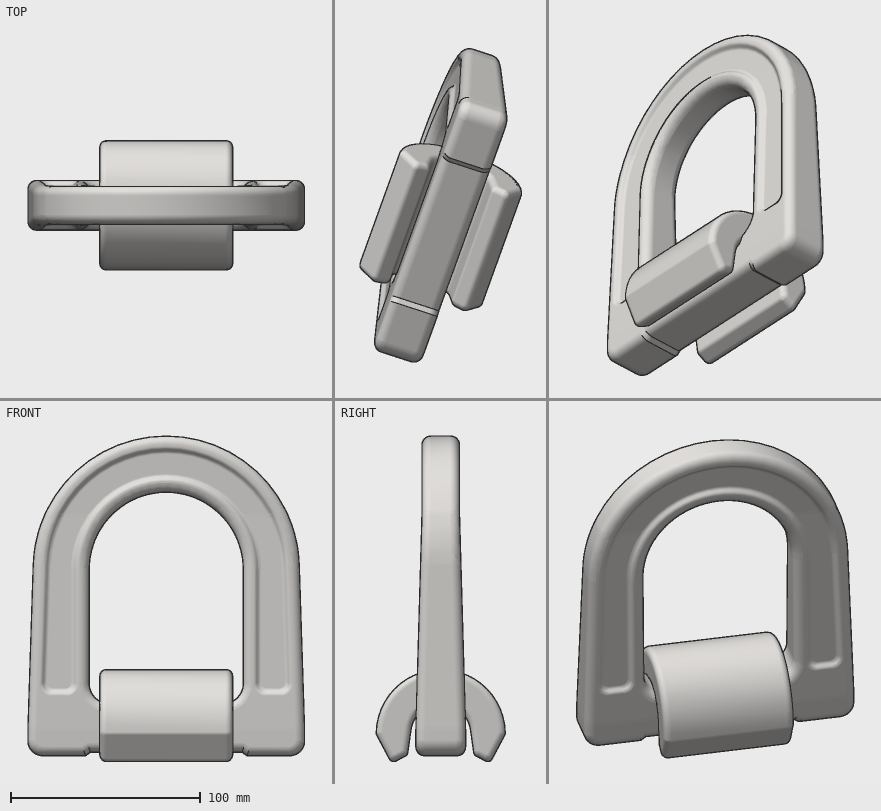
import cadquery as cq
import math

ARCH_Z = 87.0
ARCH_OUTER_R = 70.3
ARCH_INNER_R = 40.6
FOOT_HALF_WIDTH = 73.05
FOOT_TOP_Z = 2.9
FOOT_BOTTOM_Z = -11.5
FOOT_CORNER_R = 8.0
FOOT_INNER_X = 42.6
BAR_SHOULDER_X = 40.0
BAR_BOTTOM_Z = -9.6
BAR_TOP_Z = 16.0
WINDOW_CORNER_R = 10.7

TAPER_TOP_Z = 115.0
ARCH_HALF_DEPTH = 10.0
FOOT_HALF_DEPTH = 13.2
EASE = 1.0
EDGE_R = 4.85

RECESS_DEPTH = 2.2
RECESS_BLEND = 0.9
RECESS_LAND = 0.3
RECESS_RIM_INSET = EDGE_R + RECESS_LAND
RECESS_RIM_Z = 19.8
RECESS_CORNER_R = 6.0
RECESS_OVERRUN = 0.4
RECESS_SLOPE = RECESS_DEPTH + RECESS_OVERRUN
RECESS_BLEND_R = RECESS_BLEND / math.tan(math.radians(45) / 2)

SADDLE_HALF_LENGTH = 35.1
SADDLE_OUTER_R = 34.12
SADDLE_INNER_R = 15.8
SADDLE_SPLAY = math.radians(8)
SADDLE_TOE_Y = 25.9
SADDLE_TOE_Z = -15.5
SADDLE_HEEL_Z = -11.0
SADDLE_EDGE_R = 3.5
SADDLE_TOE_R = 2.6

FAR = 100.0
MARGIN = 1.0
WALL_NORMAL_Y = 0.5
FACE_NORMAL_Y = 0.9
LEG_DROP = ARCH_Z - FOOT_TOP_Z
LEG_FLARE = math.acos(ARCH_OUTER_R / math.hypot(FOOT_HALF_WIDTH, LEG_DROP)) - math.atan2(
    LEG_DROP, FOOT_HALF_WIDTH
)


def half_depth(z):
    """Half the depth of the ring in Y at height z."""
    share = (TAPER_TOP_Z - z) / (TAPER_TOP_Z - FOOT_TOP_Z)
    share = min(max(share, 0.0), 1.0)
    return ARCH_HALF_DEPTH + share * (FOOT_HALF_DEPTH - ARCH_HALF_DEPTH)


def arch_end(radius):
    """Right-hand point where an outer arch of this radius meets its flared leg."""
    return radius * math.cos(LEG_FLARE), ARCH_Z + radius * math.sin(LEG_FLARE)


def leg_half_width(z):
    """Half the outer width of the ring at height z on the flared legs."""
    return FOOT_HALF_WIDTH - (z - FOOT_TOP_Z) * math.tan(LEG_FLARE)


def depth_envelope(inset):
    """Solid filling the space between the ring faces, each moved inward by inset."""
    arch_y = ARCH_HALF_DEPTH - inset
    foot_y = FOOT_HALF_DEPTH - inset
    slope = math.atan2(FOOT_HALF_DEPTH - ARCH_HALF_DEPTH, TAPER_TOP_Z - FOOT_TOP_Z)
    ease_y = EASE * math.sin(slope)
    ease_z = EASE * math.cos(slope)
    front_half = (
        cq.Workplane("YZ", origin=(-FAR, 0, 0))
        .moveTo(0, -FAR)
        .lineTo(foot_y, -FAR)
        .lineTo(foot_y, FOOT_TOP_Z - EASE)
        .tangentArcPoint((foot_y - ease_y, FOOT_TOP_Z + ease_z), relative=False)
        .lineTo(arch_y + ease_y, TAPER_TOP_Z - ease_z)
        .tangentArcPoint((arch_y, TAPER_TOP_Z + EASE), relative=False)
        .lineTo(arch_y, 2 * FAR)
        .lineTo(0, 2 * FAR)
        .close()
        .extrude(2 * FAR)
    )
    return front_half.union(front_half.mirror("XZ"))


def rim_edges(body):
    """Edges where the walls of a body standing along Y meet its front and back faces."""
    walls = [face for face in body.faces().vals() if abs(face.normalAt().y) < WALL_NORMAL_Y]
    edges = [edge for wall in walls for edge in wall.Edges()]
    nearest = ARCH_HALF_DEPTH / 2
    farthest = FOOT_HALF_DEPTH + MARGIN
    return [edge for edge in edges if nearest < abs(edge.positionAt(0.5).y) < farthest]


def recess_blend_edges(body):
    """Edges along the top and bottom of the sloped recess walls."""
    slopes = [
        face for face in body.faces().vals()
        if WALL_NORMAL_Y < abs(face.normalAt().y) < FACE_NORMAL_Y
    ]
    blend_edges = []
    slope_edges = [edge for slope in slopes for edge in slope.Edges()]
    for edge in slope_edges:
        middle = edge.positionAt(0.5)
        below_face = half_depth(middle.z) - abs(middle.y)
        if abs(below_face - RECESS_DEPTH / 2) > RECESS_DEPTH / 4:
            blend_edges.append(edge)
    return blend_edges


def ring_blank():
    """Ring with its clear opening, before any rounding."""
    end_x, end_z = arch_end(ARCH_OUTER_R)
    flare_z = FOOT_TOP_Z + EASE * math.cos(LEG_FLARE)
    outline = (
        cq.Workplane("XZ", origin=(0, FAR, 0))
        .moveTo(-end_x, end_z)
        .threePointArc((0, ARCH_Z + ARCH_OUTER_R), (end_x, end_z))
        .lineTo(leg_half_width(flare_z), flare_z)
        .tangentArcPoint((FOOT_HALF_WIDTH, FOOT_TOP_Z - EASE), relative=False)
        .lineTo(FOOT_HALF_WIDTH, FOOT_BOTTOM_Z + FOOT_CORNER_R)
        .tangentArcPoint((FOOT_HALF_WIDTH - FOOT_CORNER_R, FOOT_BOTTOM_Z), relative=False)
        .lineTo(FOOT_INNER_X, FOOT_BOTTOM_Z)
        .lineTo(BAR_SHOULDER_X, BAR_BOTTOM_Z)
        .lineTo(-BAR_SHOULDER_X, BAR_BOTTOM_Z)
        .lineTo(-FOOT_INNER_X, FOOT_BOTTOM_Z)
        .lineTo(-FOOT_HALF_WIDTH + FOOT_CORNER_R, FOOT_BOTTOM_Z)
        .tangentArcPoint((-FOOT_HALF_WIDTH, FOOT_BOTTOM_Z + FOOT_CORNER_R), relative=False)
        .lineTo(-FOOT_HALF_WIDTH, FOOT_TOP_Z - EASE)
        .tangentArcPoint((-leg_half_width(flare_z), flare_z), relative=False)
        .close()
        .extrude(2 * FAR)
    )
    window = (
        cq.Workplane("XZ", origin=(0, FAR, 0))
        .moveTo(-ARCH_INNER_R, ARCH_Z)
        .threePointArc((0, ARCH_Z + ARCH_INNER_R), (ARCH_INNER_R, ARCH_Z))
        .lineTo(ARCH_INNER_R, BAR_TOP_Z)
        .lineTo(-ARCH_INNER_R, BAR_TOP_Z)
        .close()
        .extrude(2 * FAR)
        .edges("|Y and <Z")
        .fillet(WINDOW_CORNER_R)
    )
    return outline.cut(window).intersect(depth_envelope(0))


def recess_cutter():
    """Arch-shaped cutter for both faces, with sloped walls and rounded lower corners."""
    inset = RECESS_RIM_INSET + RECESS_BLEND
    bottom_z = RECESS_RIM_Z + RECESS_BLEND
    outer_r = ARCH_OUTER_R - inset
    inner_r = ARCH_INNER_R + inset
    end_x, end_z = arch_end(outer_r)
    bottom_x = leg_half_width(bottom_z) - inset / math.cos(LEG_FLARE)
    prism = (
        cq.Workplane("XZ", origin=(0, FAR, 0))
        .moveTo(-end_x, end_z)
        .threePointArc((0, ARCH_Z + outer_r), (end_x, end_z))
        .lineTo(bottom_x, bottom_z)
        .lineTo(inner_r, bottom_z)
        .lineTo(inner_r, ARCH_Z)
        .threePointArc((0, ARCH_Z + inner_r), (-inner_r, ARCH_Z))
        .lineTo(-inner_r, bottom_z)
        .lineTo(-bottom_x, bottom_z)
        .close()
        .extrude(2 * FAR)
        .edges("|Y and <Z")
        .fillet(RECESS_CORNER_R)
    )
    cutter = prism.cut(depth_envelope(RECESS_DEPTH))
    return cutter.newObject(rim_edges(cutter)).chamfer(RECESS_SLOPE)


def ring():
    """Finished ring with its recesses and rounded rims."""
    body = ring_blank().cut(recess_cutter())
    body = body.newObject(recess_blend_edges(body)).fillet(RECESS_BLEND_R)
    return body.newObject(rim_edges(body)).fillet(EDGE_R)


def saddle():
    """Strap bent over the cross bar, with rounded toes, flanks and ends."""
    inner_y = SADDLE_INNER_R * math.cos(SADDLE_SPLAY)
    inner_z = SADDLE_INNER_R * math.sin(SADDLE_SPLAY)
    heel_y = inner_y + (inner_z - SADDLE_HEEL_Z) * math.tan(SADDLE_SPLAY)
    profile = (
        cq.Workplane("YZ", origin=(-SADDLE_HALF_LENGTH, 0, 0))
        .moveTo(-SADDLE_OUTER_R, 0)
        .threePointArc((0, SADDLE_OUTER_R), (SADDLE_OUTER_R, 0))
        .lineTo(SADDLE_TOE_Y, SADDLE_TOE_Z)
        .lineTo(heel_y, SADDLE_HEEL_Z)
        .lineTo(inner_y, inner_z)
        .threePointArc((0, SADDLE_INNER_R), (-inner_y, inner_z))
        .lineTo(-heel_y, SADDLE_HEEL_Z)
        .lineTo(-SADDLE_TOE_Y, SADDLE_TOE_Z)
        .close()
        .extrude(2 * SADDLE_HALF_LENGTH)
    )
    toes = cq.selectors.BoxSelector((-MARGIN, -FAR, SADDLE_TOE_Z - MARGIN), (MARGIN, FAR, MARGIN))
    strap = profile.edges("|X").edges(toes).fillet(SADDLE_TOE_R)
    return strap.faces("<X or >X").edges().fillet(SADDLE_EDGE_R)


result = ring().union(saddle())